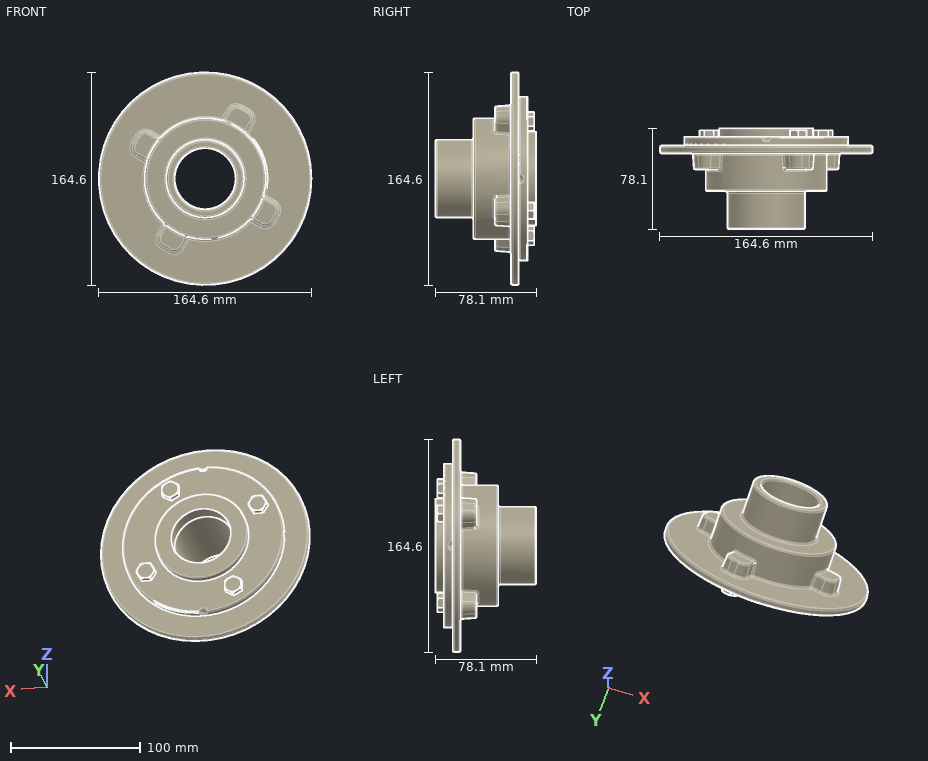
import cadquery as cq
import math


flange_radius = 82.3
flange_thickness = 6.3
hub_radius = 47.0
hub_length = 29.1
tube_radius = 30.1
tube_length = 29.3
bore_radius = 23.5
edge_round = 1.5
root_fillet = 1.5

bolt_count = 4
bolt_circle_radius = 50.7
first_bolt_angle = 60.7
boss_reach = 62.4
boss_width = 21.0
boss_corner_radius = 7.4
boss_height = 12.3
boss_draft = 4.0

ring_radius = 63.5
ring_thickness = 6.9
ring_edge_round = 1.0
collar_radius = 36.4
collar_height = 6.5
collar_edge_round = 0.5
notch_radius = 3.3
notch_edge_round = 0.7

head_across_flats = 12.8
head_height = 5.0
head_chamfer_height = 0.5
head_chamfer_slope = 30.0
half_hexagon_step = 30.0
shank_radius = 4.0
boss_floor = 5.0

hub_front = -hub_length
tube_front = hub_front - tube_length
ring_front = flange_thickness
ring_back = ring_front + ring_thickness
collar_back = ring_back + collar_height
shank_front = boss_floor - boss_height

bolt_angles = [first_bolt_angle + i * 360.0 / bolt_count for i in range(bolt_count)]
tolerance = 0.02


def cylinder(radius, front, back):
    """Cylinder on the Y axis between two places along Y."""
    return cq.Workplane("XZ", origin=(0, back, 0)).circle(radius).extrude(back - front)


def turn(body, angle):
    """Turn a body about the Y axis, from +X toward +Z."""
    return body.rotate((0, 0, 0), (0, 1, 0), -angle)


def sample_points(edge):
    """Three points along an edge, enough to tell which surface it lies on."""
    return [edge.positionAt(fraction) for fraction in (0.0, 0.3, 0.6)]


def rim(body, radius, place):
    """Circular edges of the given radius around the Y axis, at one place along Y."""
    return body.edges("%CIRCLE").filter(
        lambda edge: abs(edge.radius() - radius) < tolerance
        and (edge.arcCenter() - cq.Vector(0, place, 0)).Length < tolerance
    )


def cut_shank_holes(body):
    """Cut the four holes that the bolt shanks fill."""
    hole = cylinder(shank_radius, shank_front, ring_back).translate((bolt_circle_radius, 0, 0))
    for angle in bolt_angles:
        body = body.cut(turn(hole, angle))
    return body


def make_boss():
    """Drafted boss on +X, from inside the hub wall to its rounded outer end."""
    inner_radius = (bore_radius + hub_radius) / 2
    outline = (
        cq.Sketch()
        .push([((inner_radius + boss_reach) / 2, 0)])
        .rect(boss_reach - inner_radius, boss_width)
        .reset()
        .vertices(">X")
        .fillet(boss_corner_radius)
    )
    boss = cq.Workplane("XZ").placeSketch(outline).extrude(boss_height, taper=boss_draft)
    return boss.faces("<Y").edges().fillet(edge_round)


def is_root_edge(edge):
    """True for an edge where the hub or a boss meets the flange, or a boss meets the hub."""
    points = sample_points(edge)
    radii = [math.hypot(point.x, point.z) for point in points]
    on_flange = all(abs(point.y) < tolerance for point in points) and max(radii) < boss_reach + tolerance
    on_hub = all(abs(radius - hub_radius) < tolerance for radius in radii)
    beside_boss = all(point.y > -boss_height - tolerance for point in points)
    return on_flange or (on_hub and beside_boss)


def make_housing():
    flange = cylinder(flange_radius, 0, flange_thickness).edges().fillet(edge_round)
    hub = cylinder(hub_radius, hub_front, 0).faces("<Y").edges().fillet(edge_round)
    tube = cylinder(tube_radius, tube_front, hub_front).faces("<Y").edges().fillet(edge_round)

    body = flange.union(hub)
    for angle in bolt_angles:
        body = body.union(turn(make_boss(), angle))
    body = body.edges().filter(is_root_edge).fillet(root_fillet)

    body = body.union(tube)
    body = rim(body, tube_radius, hub_front).fillet(root_fillet)

    body = body.cut(cylinder(bore_radius, tube_front, flange_thickness))
    body = rim(body, bore_radius, tube_front).fillet(edge_round)
    return cut_shank_holes(body)


def is_mouth_edge(edge, centre):
    """True for an edge that lies on the ball surface of the notch around the given centre."""
    distances = [(point - cq.Vector(*centre)).Length for point in sample_points(edge)]
    return all(abs(distance - notch_radius) < tolerance for distance in distances)


def make_clamp_ring():
    ring = cylinder(ring_radius, ring_front, ring_back).edges().fillet(ring_edge_round)
    collar = cylinder(collar_radius, ring_front, collar_back).faces(">Y").edges().fillet(collar_edge_round)
    body = ring.union(collar)
    body = body.cut(cylinder(bore_radius, ring_front, collar_back))

    for side in (-1, 1):
        for centre in ((side * ring_radius, ring_front, 0), (0, ring_back, side * ring_radius)):
            body = body.cut(cq.Workplane("XY").sphere(notch_radius).translate(centre))
            mouth = [edge for edge in body.edges().vals() if is_mouth_edge(edge, centre)]
            body = body.newObject(mouth).fillet(notch_edge_round)
    return cut_shank_holes(body)


def make_bolt():
    """Hexagon bolt on +X, with one flat of its head facing radially outward."""
    head_back = ring_back + head_height
    corner_radius = head_across_flats / math.sqrt(3)
    hexagon = cq.Workplane("XZ", origin=(0, head_back, 0)).polygon(6, 2 * corner_radius).extrude(head_height)
    hexagon = turn(hexagon, half_hexagon_step)

    chamfer_width = head_chamfer_height / math.tan(math.radians(head_chamfer_slope))
    blank = cylinder(corner_radius, ring_back, head_back)
    blank = blank.faces(">Y").edges().chamfer(head_chamfer_height, chamfer_width)

    shank = cylinder(shank_radius, shank_front, ring_back)
    return hexagon.intersect(blank).union(shank).translate((bolt_circle_radius, 0, 0))


housing = make_housing()
clamp_ring = make_clamp_ring()
bolts = [turn(make_bolt(), angle).val() for angle in bolt_angles]

result = cq.Compound.makeCompound([housing.val(), clamp_ring.val(), *bolts])